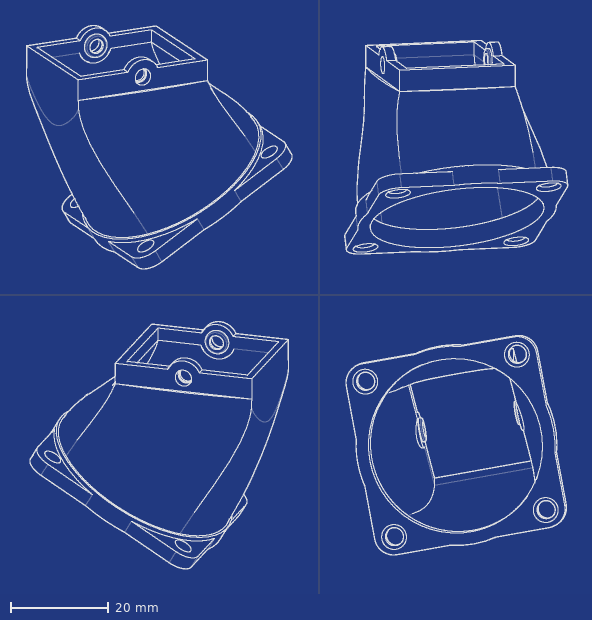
import cadquery as cq
import math

tilt = 30.0
tilt_sin = math.sin(math.radians(tilt))
tilt_cos = math.cos(math.radians(tilt))

disc_diameter = 41.2
bore_diameter = 36.0
disc_height = 4.0
plate_side = 40.0
plate_thickness = 3.0
plate_corner_radius = 4.0
bolt_spacing_x = 31.9
bolt_spacing_y = 32.6
bolt_hole_diameter = 3.7
bolt_hole_bevel = 0.7

collar_width = 24.5
collar_length = 29.55
collar_front = -29.25
collar_back = collar_front + collar_length
collar_bottom = 26.95
collar_top = 31.4
side_wall = 1.9
back_wall = 2.0
front_wall = 1.5
opening_depth = 2.7
opening_width = collar_width - 2 * side_wall
opening_bottom = collar_top - opening_depth
opening_front = collar_front + front_wall
opening_back = collar_back - back_wall

ear_radius = 3.75
ear_y = collar_front + collar_length / 2
ear_z = 29.85
boss_diameter = 5.0
boss_height = 0.65
boss_edge_radius = 0.3
ear_hole_diameter = 3.5
pin_hole_diameter = 3.0

hood_base_radius = 20.1
rim_bulge = 0.7
section_count = 7
points_per_side = 9
base_pull, base_pull_change = 25.9, 7.05
top_pull, top_pull_change = 20.7, 7.55
top_lean, top_lean_change = 4.95, 2.6


def hood_point(angle, top, radius, position):
    """Point on a cubic rib running from the tilted circle (0) to the rectangle (1)."""
    across, along = math.cos(angle), math.sin(angle)
    base = cq.Vector(
        radius * across,
        radius * along * tilt_cos - disc_height * tilt_sin,
        radius * along * tilt_sin + disc_height * tilt_cos,
    )
    base_tangent = cq.Vector(0, -tilt_sin, tilt_cos) * (base_pull - base_pull_change * along)
    lean = top_lean + top_lean_change * along
    top_tangent = cq.Vector(-lean * across, -lean * along, top_pull - top_pull_change * along)
    s = position
    return (
        base * (2 * s**3 - 3 * s**2 + 1)
        + base_tangent * (s**3 - 2 * s**2 + s)
        + top * (3 * s**2 - 2 * s**3)
        + top_tangent * (s**3 - s**2)
    )


def hood_solid(radius, width, front, back, rim_height, bulge):
    """Loft with seams from the circle's diagonals to the corners of a rectangle with bowed sides."""
    half = width / 2
    corners = [(half, front), (half, back), (-half, back), (-half, front)]
    sections = []
    for level in range(section_count):
        position = level / (section_count - 1)
        edges = []
        for side in range(4):
            start, end = corners[side], corners[(side + 1) % 4]
            outward = math.radians(90 * side)
            points = []
            for step in range(points_per_side):
                share = step / (points_per_side - 1)
                angle = math.radians(-45 + 90 * (side + share))
                bow = 4 * bulge * share * (1 - share)
                top_x = start[0] + (end[0] - start[0]) * share + bow * math.cos(outward)
                top_y = start[1] + (end[1] - start[1]) * share + bow * math.sin(outward)
                top = cq.Vector(top_x, top_y, rim_height)
                points.append(hood_point(angle, top, radius, position))
            edges.append(cq.Edge.makeSpline(points))
        sections.append(cq.Wire.assembleEdges(edges))
    return cq.Workplane(obj=cq.Solid.makeLoft(sections))


def box(width, front, back, bottom, top):
    """Box centred on X between the given Y and Z limits."""
    return (
        cq.Workplane(origin=(0, (front + back) / 2, bottom))
        .box(width, back - front, top - bottom, centered=(True, True, False))
    )


def x_cylinder(diameter, start_x, length):
    """Cylinder on the hinge axis."""
    return (
        cq.Workplane("YZ", origin=(start_x, ear_y, ear_z))
        .circle(diameter / 2)
        .extrude(length)
    )


def flange():
    plate = (
        cq.Workplane()
        .rect(plate_side, plate_side)
        .extrude(plate_thickness)
        .edges("|Z")
        .fillet(plate_corner_radius)
    )
    disc = cq.Workplane().circle(disc_diameter / 2).extrude(disc_height)
    bore = cq.Workplane().circle(bore_diameter / 2).extrude(disc_height)
    bolt_holes = (
        cq.Workplane()
        .rect(bolt_spacing_x, bolt_spacing_y, forConstruction=True)
        .vertices()
        .circle(bolt_hole_diameter / 2)
        .extrude(plate_thickness)
    )
    underside_bevels = (
        cq.Workplane()
        .rect(bolt_spacing_x, bolt_spacing_y, forConstruction=True)
        .vertices()
        .circle(bolt_hole_diameter / 2 + bolt_hole_bevel)
        .extrude(bolt_hole_bevel, taper=45)
    )
    flange_body = plate.union(disc).cut(bore).cut(bolt_holes).cut(underside_bevels)
    return flange_body.rotate((0, 0, 0), (1, 0, 0), tilt)


def hood():
    outer = hood_solid(hood_base_radius, collar_width, collar_front, collar_back, collar_bottom, rim_bulge)
    margin = disc_diameter
    trim = box(2 * margin, collar_front - margin, collar_front, -margin, margin)
    return outer.cut(trim)


def collar():
    return box(collar_width, collar_front, collar_back, collar_bottom, collar_top)


def cavity():
    """Straight opening at the collar, flaring to the flange bore below it."""
    opening = box(opening_width, opening_front, opening_back, opening_bottom, collar_top)
    flare = hood_solid(
        bore_diameter / 2, opening_width, opening_front, opening_back, opening_bottom, 0
    )
    return opening.union(flare)


def add_ears(body):
    ear_outer_x = collar_width / 2
    boss_inner_x = ear_outer_x - side_wall - boss_height
    for direction in (-1, 1):
        ear = x_cylinder(2 * ear_radius, direction * ear_outer_x, -direction * side_wall)
        boss = x_cylinder(boss_diameter, direction * boss_inner_x, direction * boss_height)
        inner_face = "<X" if direction > 0 else ">X"
        boss = boss.faces(inner_face).edges().fillet(boss_edge_radius)
        ear_hole = x_cylinder(ear_hole_diameter, direction * ear_outer_x, -direction * side_wall)
        body = body.union(ear).cut(ear_hole).union(boss)
    return body.cut(x_cylinder(pin_hole_diameter, -ear_outer_x, collar_width))


result = add_ears(flange().union(hood()).union(collar()).cut(cavity()))